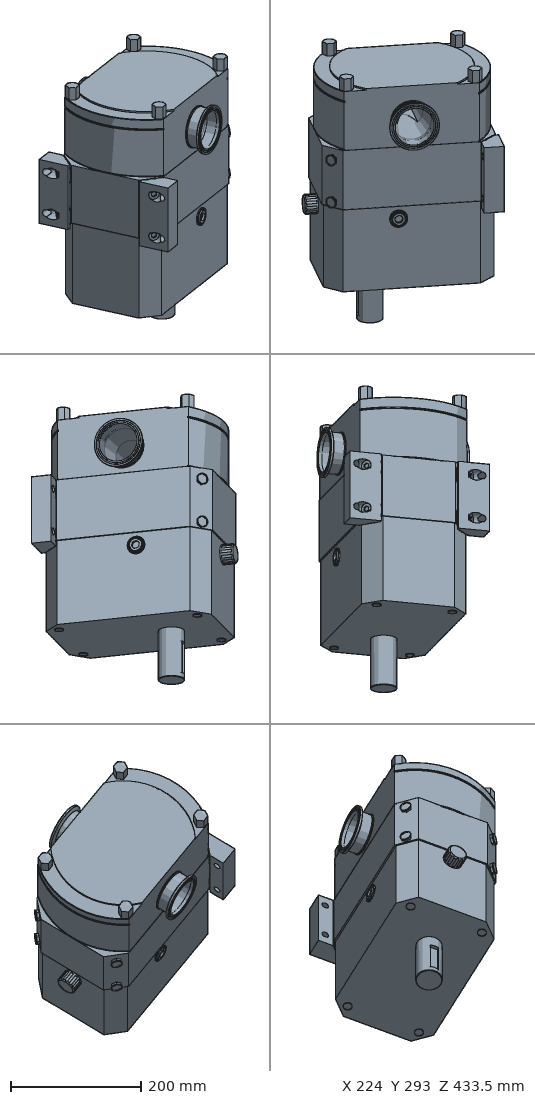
import cadquery as cq
import math

case_bottom = 80.0
block_bottom = 216.0
head_bottom = 314.0
groove_bottom = 393.0
rim_top = 411.0
plate_top = 413.5
nut_top = 433.5

head_half_width = 86.0
head_radius = 136.0
plate_radius = 111.5
groove_radius = 135.0
groove_height = 2.0
seat_groove_height = 1.5
rim_chamfer = 1.0

nut_x = 75.5
nut_y = 100.0
nut_flats = 19.0
nut_dome_start = 431.0

block_half_width = 86.5
block_half_y = 135.5
block_chamfer = 27.8
case_half_width = 83.5
case_half_y = 133.0
case_chamfer = 26.0

port_z = 355.5
port_tip = 111.0
flange_radius = 38.5
flange_edge = 3.5
flange_taper = 2.5
pipe_radius = 32.0
weld_size = 1.5
gasket_inner = 33.0
gasket_outer = 35.5
gasket_depth = 1.0
bore_mouth_radius = 30.5
bore_throat_radius = 24.0
bore_throat_x = 47.5
bore_floor_z = 338.0

foot_span = 224.0
foot_outer_x = foot_span / 2
foot_inner_x = 62.0
foot_front_y = -139.5
foot_back_y = -108.0
foot_bottom = 206.0
foot_gap = 1.5
spacer_radius = 19.0
mount_hole_x = 100.5
mount_hole_diameter = 11.0
foot_bore_diameter = 17.0
foot_bore_floor = 16.5
socket_flats = 8.0
socket_depth = 2.5

bolt_levels = (225.5, 295.0)
bolt_hex_flats = 14.7
bolt_hex_height = 4.0
bolt_cap_radius = 8.5
bolt_cap_height = 1.7

shaft_y = 50.5
shaft_radius = 20.5
shaft_chamfer = 1.0
key_width = 14.0
key_depth = 5.0
key_bottom = 8.5
key_top = 60.0

fitting_z = 195.0
knob_radius = 15.5
knob_tip_y = 153.5
knob_chamfer = 2.0
knob_flutes = 12
knob_collar = 2.0
flute_radius = 3.5
flute_depth = 1.0
plug_y = 20.5
plug_ring_outer = 14.0
plug_ring_inner = 12.0
plug_ring_height = 2.0
plug_core_radius = 10.0
plug_core_height = 4.0
plug_socket_radius = 6.0
pad_x = 60.5
pad_y = 111.5
pad_radius = 7.0
pad_height = 1.5

SIDES = (-1, 1)


def slab(bottom, top, half_x, half_y):
    return (cq.Workplane("XY").workplane(offset=bottom)
            .rect(2 * half_x, 2 * half_y).extrude(top - bottom))


def disc(bottom, top, radius):
    return cq.Workplane("XY").workplane(offset=bottom).circle(radius).extrude(top - bottom)


def flatten_sides(shape):
    return shape.intersect(slab(head_bottom, plate_top, head_half_width, head_radius))


def hexagon(plane, flats, height):
    """Hexagonal prism with two of its corners on the local Y axis of the plane."""
    corner_distance = flats / math.cos(math.pi / 6)
    prism = cq.Workplane("XY").polygon(6, corner_distance).extrude(height)
    prism = prism.rotate((0, 0, 0), (0, 0, 1), 30)
    return cq.Workplane(plane).newObject([prism.val().moved(plane.location)])


def mirrored_in_x(shape):
    return shape.union(shape.mirror("YZ"))


def make_head():
    head = disc(head_bottom, rim_top, head_radius).faces(">Z").chamfer(rim_chamfer)
    head = head.union(disc(rim_top, plate_top, plate_radius))
    for bottom, height in ((head_bottom, seat_groove_height), (groove_bottom, groove_height)):
        ring = disc(bottom, bottom + height, 2 * head_radius)
        head = head.cut(ring.cut(disc(bottom, bottom + height, groove_radius)))
    return flatten_sides(head)


def make_nut(x, y):
    corner_radius = nut_flats / math.sqrt(3)
    dome_height = nut_top - nut_dome_start
    dome_radius = (corner_radius ** 2 + dome_height ** 2) / (2 * dome_height)
    half_angle = math.asin(corner_radius / dome_radius) / 2
    dome_middle = (
        dome_radius * math.sin(half_angle),
        nut_top - dome_radius * (1 - math.cos(half_angle)),
    )
    plane = cq.Plane(origin=(x, y, rim_top), xDir=(1, 0, 0), normal=(0, 0, 1))
    dome = (cq.Workplane("XZ")
            .moveTo(0, rim_top)
            .lineTo(corner_radius, rim_top)
            .lineTo(corner_radius, nut_dome_start)
            .threePointArc(dome_middle, (0, nut_top))
            .close()
            .revolve(360, (0, 0, 0), (0, 1, 0))
            .translate((x, y, 0)))
    return hexagon(plane, nut_flats, nut_top - rim_top).intersect(dome)


def make_housing():
    block = slab(block_bottom, head_bottom, block_half_width, block_half_y)
    case = slab(case_bottom, block_bottom, case_half_width, case_half_y)
    return block.edges("|Z").chamfer(block_chamfer).union(case.edges("|Z").chamfer(case_chamfer))


def make_port():
    """Ferrule on the +X side, turned about the X axis."""
    taper_start = port_tip - flange_edge
    return (cq.Workplane("XY")
            .moveTo(bore_throat_x, 0)
            .lineTo(bore_throat_x, pipe_radius + weld_size)
            .lineTo(head_half_width + weld_size, pipe_radius + weld_size)
            .lineTo(head_half_width + 2 * weld_size, pipe_radius)
            .lineTo(taper_start - flange_taper, pipe_radius)
            .lineTo(taper_start, flange_radius)
            .lineTo(port_tip, flange_radius)
            .lineTo(port_tip, gasket_outer)
            .lineTo(port_tip - gasket_depth, gasket_outer)
            .lineTo(port_tip - gasket_depth, gasket_inner)
            .lineTo(port_tip, gasket_inner)
            .lineTo(port_tip, 0)
            .close()
            .revolve(360, (0, 0, 0), (1, 0, 0))
            .translate((0, 0, port_z)))


def make_bore():
    """Through passage: straight mouths, then cones that meet a flat-floored throat."""
    floor_drop = port_z - bore_floor_z
    slope = (head_half_width - bore_throat_x) / (bore_mouth_radius - bore_throat_radius)
    cone_end_x = bore_throat_x - slope * (bore_throat_radius - floor_drop)
    mouth = (cq.Workplane("XY")
             .moveTo(cone_end_x, 0)
             .lineTo(cone_end_x, floor_drop)
             .lineTo(head_half_width, bore_mouth_radius)
             .lineTo(port_tip, bore_mouth_radius)
             .lineTo(port_tip, 0)
             .close()
             .revolve(360, (0, 0, 0), (1, 0, 0))
             .translate((0, 0, port_z)))
    throat = (cq.Workplane("YZ").center(0, port_z).circle(bore_throat_radius)
              .extrude(bore_throat_x, both=True))
    above_floor = slab(bore_floor_z, rim_top, bore_throat_x, head_radius)
    return mirrored_in_x(mouth).union(throat.intersect(above_floor))


def chamfer_plane(y_side, level, distance):
    """Plane parallel to a +X corner chamfer of the block, at a distance outside its middle."""
    offset = distance / math.sqrt(2) - block_chamfer / 2
    return cq.Plane(
        origin=(block_half_width + offset, y_side * (block_half_y + offset), level),
        xDir=(1, -y_side, 0),
        normal=(1, y_side, 0),
    )


def make_foot():
    """Foot on the +X side with its spacers, mounting holes and counterbored screws."""
    chamfer_sum = block_half_width + block_half_y - block_chamfer + foot_gap * math.sqrt(2)
    foot = (cq.Workplane("XY").workplane(offset=foot_bottom)
            .moveTo(foot_outer_x, foot_back_y)
            .lineTo(chamfer_sum + foot_back_y, foot_back_y)
            .lineTo(foot_inner_x, foot_inner_x - chamfer_sum)
            .lineTo(foot_inner_x, foot_front_y)
            .lineTo(foot_outer_x, foot_front_y)
            .close()
            .extrude(head_bottom - foot_bottom))
    for level in bolt_levels:
        spacer = cq.Workplane(chamfer_plane(-1, level, 0)).circle(spacer_radius).extrude(foot_gap)
        mount_hole = (cq.Workplane("XZ", origin=(mount_hole_x, 0, level))
                      .circle(mount_hole_diameter / 2).extrude(2 * abs(foot_front_y)))
        counterbore = (cq.Workplane(chamfer_plane(-1, level, foot_bore_floor))
                       .circle(foot_bore_diameter / 2).extrude(foot_outer_x))
        socket_plane = chamfer_plane(-1, level, foot_bore_floor - socket_depth)
        socket = hexagon(socket_plane, socket_flats, socket_depth)
        foot = foot.union(spacer).cut(mount_hole).cut(counterbore).cut(socket)
    return foot


def make_rear_bolt(level):
    """Hexagon topped by a thin round cap, on the rear chamfer of the +X side."""
    hex_part = hexagon(chamfer_plane(1, level, 0), bolt_hex_flats, bolt_hex_height)
    cap = (cq.Workplane(chamfer_plane(1, level, bolt_hex_height))
           .circle(bolt_cap_radius).extrude(bolt_cap_height))
    return hex_part.union(cap)


def make_shaft():
    shaft = disc(0, case_bottom, shaft_radius).faces("<Z").chamfer(shaft_chamfer)
    key_seat = (cq.Workplane("XY", origin=(0, shaft_radius, key_bottom))
                .rect(key_width, 2 * key_depth).extrude(key_top - key_bottom))
    return shaft.cut(key_seat).translate((0, shaft_y, 0))


def make_knob():
    height = knob_tip_y - case_half_y
    flute_center = knob_radius + flute_radius - flute_depth
    flutes = (cq.Workplane("XY").workplane(offset=knob_collar)
              .polarArray(flute_center, 0, 360, knob_flutes)
              .circle(flute_radius).extrude(height))
    knob = cq.Workplane("XY").circle(knob_radius).extrude(height).faces(">Z").chamfer(knob_chamfer)
    return knob.cut(flutes).rotate((0, 0, 0), (1, 0, 0), -90).translate((0, case_half_y, fitting_z))


def make_plug():
    """Plug on the +X side of the gear case: a socketed core standing inside a low ring."""
    ring = cq.Workplane("YZ").circle(plug_ring_outer).circle(plug_ring_inner).extrude(plug_ring_height)
    core = (cq.Workplane("YZ").circle(plug_core_radius).circle(plug_socket_radius)
            .extrude(plug_core_height))
    return ring.union(core).translate((case_half_width, plug_y, fitting_z))


def make_pads():
    return (cq.Workplane("XY").workplane(offset=case_bottom - pad_height)
            .rect(2 * pad_x, 2 * pad_y, forConstruction=True).vertices()
            .circle(pad_radius).extrude(pad_height))


result = make_housing().union(make_head()).union(make_shaft()).union(make_knob()).union(make_pads())
for x_side in SIDES:
    for y_side in SIDES:
        result = result.union(make_nut(x_side * nut_x, y_side * nut_y))
for feature in (make_port(), make_foot(), make_plug(), *map(make_rear_bolt, bolt_levels)):
    result = result.union(mirrored_in_x(feature))
result = result.cut(make_bore())